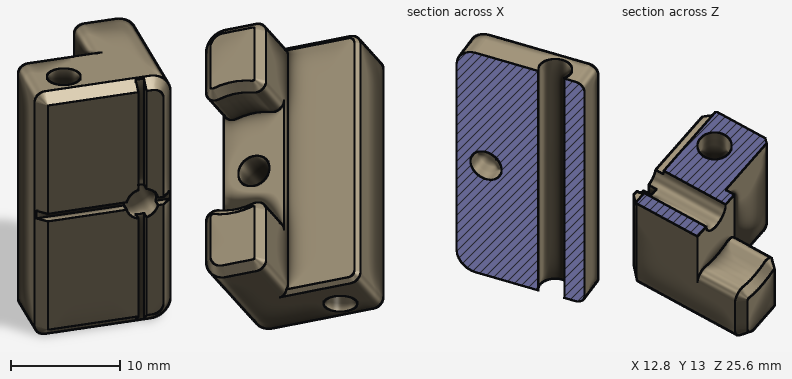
import cadquery as cq

LENGTH_X = 12.8
DEPTH_Y = 13.0
HEIGHT_Z = 25.6

ARM_DEPTH = 6.0
STEP_X = 6.0
POCKET_FLOOR_X = 5.02
POCKET_RADIUS = 6.0

BACK_FILLET = 2.0
EDGE_FILLET = 1.0
ARM_CHAMFER_X = 0.85
ARM_CHAMFER_INSET = 0.8
STEP_CHAMFER = 0.44
RIGHT_CHAMFER = 0.97

HOLE_DIAMETER = 3.1
VERTICAL_HOLE_X = 9.75
VERTICAL_HOLE_Y = -9.6
GROOVE_WIDTH = 0.8
GROOVE_DEPTH = 0.85

ARM_MID_Y = -ARM_DEPTH / 2


def bar(x_start, x_end, depth):
    """Full-height bar along X with rounded back and front edges."""
    block = cq.Workplane("XY").box(x_end - x_start, depth, HEIGHT_Z)
    block = block.translate(((x_start + x_end) / 2, -depth / 2, 0))
    block = block.edges("|X and >Y").fillet(BACK_FILLET)
    return block.edges("|X and <Y").fillet(EDGE_FILLET)


def pocket_cylinder(length):
    """Cylinder along X that hollows the arm between its two lobes."""
    return cq.Workplane("YZ").center(ARM_MID_Y, 0).circle(POCKET_RADIUS).extrude(length)


def make_body():
    """Deep part of the L, chamfered around both ends."""
    body = bar(STEP_X, LENGTH_X, DEPTH_Y)
    body = body.faces("<X").chamfer(STEP_CHAMFER)
    return body.faces(">X").chamfer(RIGHT_CHAMFER)


def make_lobes():
    """Upper and lower lobes of the arm, with the rounded pocket between them."""
    lobes = bar(0, POCKET_FLOOR_X, ARM_DEPTH).cut(pocket_cylinder(POCKET_FLOOR_X))
    half_pocket = cq.selectors.BoxSelector(
        (0, -DEPTH_Y, -POCKET_RADIUS),
        (POCKET_FLOOR_X, DEPTH_Y, POCKET_RADIUS),
    )
    lobes = lobes.edges("|X").edges(half_pocket).fillet(EDGE_FILLET)
    return lobes.faces("<X").chamfer(ARM_CHAMFER_INSET, ARM_CHAMFER_X)


def make_web():
    """Wall behind the pocket that joins the lobes to the body, reaching past its chamfer."""
    return bar(POCKET_FLOOR_X, STEP_X + STEP_CHAMFER, ARM_DEPTH)


def x_hole():
    """Hole along X through the middle of the pocket floor."""
    return cq.Workplane("YZ").center(ARM_MID_Y, 0).circle(HOLE_DIAMETER / 2).extrude(LENGTH_X)


def vertical_hole():
    """Hole through the full height of the body."""
    hole = cq.Workplane("XY").workplane(offset=-HEIGHT_Z / 2)
    return hole.center(VERTICAL_HOLE_X, VERTICAL_HOLE_Y).circle(HOLE_DIAMETER / 2).extrude(HEIGHT_Z)


def grooves():
    """Two grooves in the right end that cross at the X hole."""
    mid_x = LENGTH_X - GROOVE_DEPTH / 2
    along_z = cq.Workplane("XY").box(GROOVE_DEPTH, GROOVE_WIDTH, HEIGHT_Z)
    along_y = cq.Workplane("XY").box(GROOVE_DEPTH, DEPTH_Y, GROOVE_WIDTH)
    along_z = along_z.translate((mid_x, ARM_MID_Y, 0))
    return along_z.union(along_y.translate((mid_x, -DEPTH_Y / 2, 0)))


result = make_body().union(make_web()).union(make_lobes())
for cutter in (x_hole(), vertical_hole(), grooves()):
    result = result.cut(cutter)